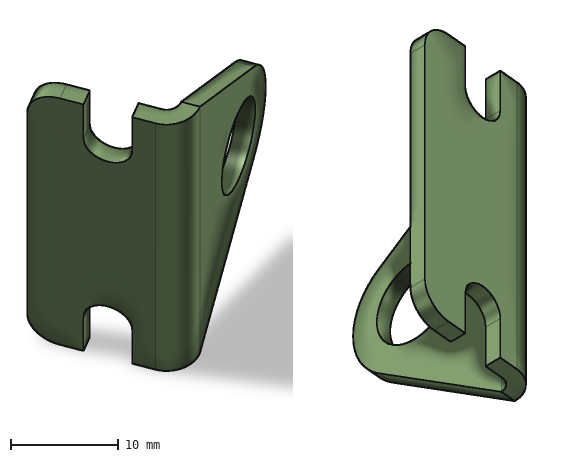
import cadquery as cq
import math

width = 15.9
depth = 22.07
height = 34.92

thickness = 1.85
bend_radius = 3.28
inner_bend_radius = bend_radius - thickness

corner_radius = 3.2
slot_width = 4.8
slot_depth = 7.2
slot_x = width / 2

hole_diameter = 9.55
tip_radius = 7.8
hole_y = depth - tip_radius

half_height = height / 2
slot_radius = slot_width / 2


def bent_sheet():
    """L-shaped sheet, outer bend edge along Z, centred on Z = 0."""
    profile = (
        cq.Workplane("XY")
        .rect(width, thickness, centered=False)
        .extrude(height)
        .union(
            cq.Workplane("XY")
            .center(width - thickness, 0)
            .rect(thickness, depth, centered=False)
            .extrude(height)
        )
    )
    outer_edge = cq.selectors.NearestToPointSelector((width, 0, half_height))
    profile = profile.edges(outer_edge).fillet(bend_radius)
    inner_edge = cq.selectors.NearestToPointSelector((width - thickness, thickness, half_height))
    profile = profile.edges(inner_edge).fillet(inner_bend_radius)
    return profile.translate((0, 0, -half_height))


def flange_envelope():
    """Side outline: full height to the end of the bend, then tangent tapers to a round tip."""
    run = hole_y - bend_radius
    angle = math.atan2(half_height, -run) - math.acos(tip_radius / math.hypot(run, half_height))
    tangent_y = hole_y + tip_radius * math.cos(angle)
    tangent_z = tip_radius * math.sin(angle)
    return (
        cq.Workplane("YZ")
        .moveTo(0, -half_height)
        .lineTo(bend_radius, -half_height)
        .lineTo(tangent_y, -tangent_z)
        .threePointArc((depth, 0), (tangent_y, tangent_z))
        .lineTo(bend_radius, half_height)
        .lineTo(0, half_height)
        .close()
        .extrude(width)
    )


def flange_hole():
    """Cutter for the round hole, concentric with the flange tip."""
    return cq.Workplane("YZ").center(hole_y, 0).circle(hole_diameter / 2).extrude(width)


def end_slot(end):
    """Cutter for a round-bottomed slot open at the top (end = 1) or bottom (end = -1)."""
    edge_z = end * half_height
    bottom_z = end * (half_height - slot_depth)
    arc_z = bottom_z + end * slot_radius
    return (
        cq.Workplane("XZ")
        .moveTo(slot_x - slot_radius, edge_z)
        .lineTo(slot_x - slot_radius, arc_z)
        .threePointArc((slot_x, bottom_z), (slot_x + slot_radius, arc_z))
        .lineTo(slot_x + slot_radius, edge_z)
        .close()
        .extrude(-thickness)
    )


bracket = bent_sheet().intersect(flange_envelope()).cut(flange_hole())

bracket = bracket.edges("|Y and <X").fillet(corner_radius)

for end in (1, -1):
    bracket = bracket.cut(end_slot(end))

result = bracket